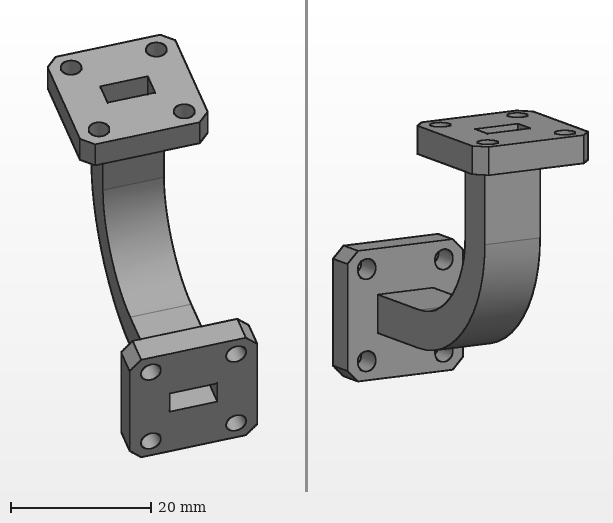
import cadquery as cq

overall = 41.25
flange_side = 19.05
flange_thickness = 4.13
corner_chamfer = 1.75
hole_diameter = 2.97
hole_spacing_bend = 13.45
hole_spacing_y = 12.7

tube_height = 5.6
tube_width = 9.12
bore_height = 3.55
bore_width = 7.1
bend_radius = 15.9

leg_length = overall - flange_side / 2


def waveguide_bar(height, width):
    """Solid rectangular bar following the bent centreline from face to face."""
    path = (
        cq.Workplane("XZ")
        .moveTo(0, leg_length)
        .lineTo(0, bend_radius)
        .radiusArc((bend_radius, 0), -bend_radius)
        .lineTo(leg_length, 0)
    )
    return cq.Workplane("XY", origin=(0, 0, leg_length)).rect(height, width).sweep(path)


def upper_flange():
    """Square flange with chamfered corners and four bolt holes, facing +Z."""
    return (
        cq.Workplane("XY", origin=(0, 0, leg_length - flange_thickness))
        .rect(flange_side, flange_side)
        .extrude(flange_thickness)
        .edges("|Z")
        .chamfer(corner_chamfer)
        .faces(">Z")
        .workplane()
        .rect(hole_spacing_bend, hole_spacing_y, forConstruction=True)
        .vertices()
        .hole(hole_diameter)
    )


side_flange = upper_flange().rotate((0, 0, 0), (0, 1, 0), 90)

result = (
    waveguide_bar(tube_height, tube_width)
    .union(upper_flange())
    .union(side_flange)
    .cut(waveguide_bar(bore_height, bore_width))
)